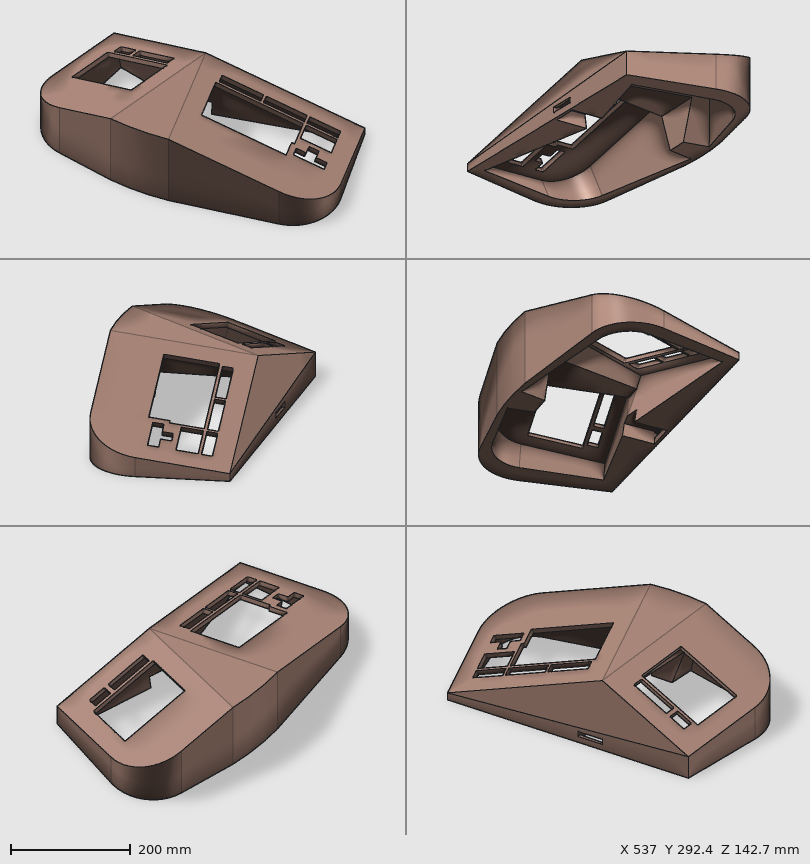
import math

import cadquery as cq

APEX = cq.Vector(-41.2, 100.1, 110.1)
PANEL_LENGTH = 250.9
LEFT_WIDTH = 203.2
RIGHT_WIDTH = 294.0
LEFT_YAW = 13.1
RIGHT_YAW = 12.1
PITCH = 7.35
ROLL = 19.2
CORNER_RADIUS = 90.0
FRONT_EDGE_Y = -146.16

PANEL_THICKNESS = 9.0
CAVITY_MARGIN = 16.0
CAVITY_FOLD_MARGIN = 23.0
CAVITY_FRONT_MARGIN = 30.0
CAVITY_CORNER_RADIUS = 60.0
DROP = 400.0

PASSAGE_WIDTH = 100.0
PASSAGE_FRONT_Y = -90.0
PASSAGE_HEIGHT = 72.8
PASSAGE_BACK_TOP_Y = 82.2
PASSAGE_BACK_Y = 72.4
DOORWAY_WIDTH = 47.0
DOORWAY_HEIGHT = 25.0
DOORWAY_FRONT_Y = 40.0
DOORWAY_BACK_Y = 134.0
PORT_BOTTOM = 12.0
PORT_TOP = 22.0

WINDOW_RADIUS = 1.7
STRIP_BACK = 35.5
STRIP_FRONT = 54.0
SCREEN_BACK = 59.7
SCREEN_FRONT = 154.5
SCREEN_FOLD = 35.0
LEFT_SCREEN_OUTER = 167.0
RIGHT_SCREEN_OUTER = 196.7
RIGHT_SCREEN_STEP = 5.5
RIGHT_SCREEN_STEP_AT = 118.0
STRIP_FOLD = 40.0
STRIP_SPLIT = 116.5
LEFT_SWITCH = (125.0, 158.0)
RIGHT_STRIP = (121.7, 197.0)
KEYPAD = (202.2, 259.0)
KEYPAD_FRONT = 97.5
TEE_STEM = (220.7, 239.0)
TEE_BACK = 107.8
TEE_SHOULDER = 126.7
TEE_FRONT = 145.7


class Panel:
    """A tilted panel; side is -1 for the left one and +1 for the right one."""

    def __init__(self, side, yaw, width):
        turn = math.radians(yaw)
        pitch = math.radians(PITCH)
        roll = math.radians(ROLL)
        self.side = side
        self.width = width
        self.forward = cq.Vector(
            side * math.sin(turn) * math.cos(pitch),
            -math.cos(turn) * math.cos(pitch),
            math.sin(pitch),
        )
        level = cq.Vector(side * math.cos(turn), math.sin(turn), 0)
        level_up = level.cross(self.forward) * -side
        self.outward = level * math.cos(roll) - level_up * math.sin(roll)
        self.up = self.outward.cross(self.forward) * -side
        self.plane = cq.Plane(APEX, self.outward, self.up)
        self.back_corner = self.point(width, 0)
        self.fold_end = self.point(0, PANEL_LENGTH)

    def point(self, out, ahead):
        """Point on the panel, measured from the fold and from the back edge."""
        return APEX + self.outward * out + self.forward * ahead

    def local(self, out, ahead):
        """The same point in the coordinates of the panel's own plane."""
        return out, -self.side * ahead

    def top_face(self):
        """Outline of the panel with its rounded front outer corner."""
        corner_start = self.local(self.width, PANEL_LENGTH - CORNER_RADIUS)
        corner_end = self.local(self.width - CORNER_RADIUS, PANEL_LENGTH)
        outline = (
            cq.Workplane(self.plane)
            .lineTo(self.width, 0)
            .lineTo(*corner_start)
            .tangentArcPoint(corner_end, relative=False)
            .lineTo(*self.local(0, PANEL_LENGTH))
            .close()
        )
        return cq.Face.makeFromWires(outline.val())

    def prism(self, corners, start, end):
        """Solid square to the panel, from depth start to depth end below it."""
        points = [self.local(*corner) for corner in corners]
        section = cq.Workplane(self.plane).workplane(offset=-start).polyline(points).close()
        return section.extrude(start - end)

    def window(self, corners):
        """Cutter that passes right through the panel, with rounded corners."""
        cutter = self.prism(corners, -PANEL_THICKNESS, 2 * PANEL_THICKNESS)
        return cutter.edges(cq.selectors.ParallelDirSelector(self.up)).fillet(WINDOW_RADIUS)

    def cavity(self):
        """Hollow below the panel, open at the bottom."""
        inner = CAVITY_FOLD_MARGIN
        outer = self.width - CAVITY_MARGIN
        front = PANEL_LENGTH - CAVITY_FRONT_MARGIN
        pocket = self.prism(rectangle(inner, outer, CAVITY_MARGIN, front), PANEL_THICKNESS, DROP)
        front_corner = self.point(outer, front) - self.up * (DROP + PANEL_THICKNESS) / 2
        corner_edge = pocket.edges(cq.selectors.NearestToPointSelector(front_corner.toTuple()))
        return corner_edge.fillet(CAVITY_CORNER_RADIUS)


def rectangle(fold, outer, back, front):
    return [(fold, back), (outer, back), (outer, front), (fold, front)]


def drop(face):
    """Solid between a face and a level far below it."""
    return cq.Workplane(cq.Solid.extrudeLinear(face, cq.Vector(0, 0, -DROP)))


def polygon_face(*points):
    return cq.Face.makeFromWires(cq.Wire.makePolygon(points, close=True))


def wedge_face(left, right):
    """Sloping face between the two folds, closed by the bowed front edge."""
    start = left.fold_end
    end = right.fold_end
    normal = (start - APEX).cross(end - APEX)
    middle_x = (start.x + end.x) / 2
    across = normal.x * (middle_x - APEX.x) + normal.y * (FRONT_EDGE_Y - APEX.y)
    middle = cq.Vector(middle_x, FRONT_EDGE_Y, APEX.z - across / normal.z)
    edges = [
        cq.Edge.makeLine(APEX, start),
        cq.Edge.makeThreePointArc(start, middle, end),
        cq.Edge.makeLine(end, APEX),
    ]
    return cq.Face.makeFromWires(cq.Wire.assembleEdges(edges))


def body(left, right):
    """Solid outer form, with upright walls and a flat bottom."""
    solid = drop(left.top_face())
    solid = solid.union(drop(right.top_face()))
    solid = solid.union(drop(wedge_face(left, right)))
    solid = solid.union(drop(polygon_face(APEX, left.back_corner, right.back_corner)))
    ground = cq.Workplane("XY").rect(4 * DROP, 4 * DROP).extrude(-2 * DROP)
    return solid.cut(ground)


def block(back, front, bottom, top):
    """Upright block as wide as the doorway, centred below the apex."""
    base = cq.Workplane("XY", origin=(APEX.x, (back + front) / 2, bottom))
    return base.rect(DOORWAY_WIDTH, back - front).extrude(top - bottom)


def passage():
    """Opening through the rib between the cavities; its back face leans back."""
    profile = [
        (PASSAGE_FRONT_Y, 0),
        (PASSAGE_BACK_Y, 0),
        (PASSAGE_BACK_Y, DOORWAY_HEIGHT),
        (PASSAGE_BACK_TOP_Y, PASSAGE_HEIGHT),
        (PASSAGE_FRONT_Y, PASSAGE_HEIGHT),
    ]
    section = cq.Workplane("YZ", origin=(APEX.x, 0, 0)).polyline(profile).close()
    return section.extrude(PASSAGE_WIDTH / 2, both=True)


def left_windows():
    return [
        rectangle(SCREEN_FOLD, LEFT_SCREEN_OUTER, SCREEN_BACK, SCREEN_FRONT),
        rectangle(STRIP_FOLD, STRIP_SPLIT, STRIP_BACK, STRIP_FRONT),
        rectangle(*LEFT_SWITCH, STRIP_BACK, STRIP_FRONT),
    ]


def right_windows():
    narrow_outer = RIGHT_SCREEN_OUTER - RIGHT_SCREEN_STEP
    screen = [
        (SCREEN_FOLD, SCREEN_BACK),
        (RIGHT_SCREEN_OUTER, SCREEN_BACK),
        (RIGHT_SCREEN_OUTER, RIGHT_SCREEN_STEP_AT),
        (narrow_outer, RIGHT_SCREEN_STEP_AT),
        (narrow_outer, SCREEN_FRONT),
        (SCREEN_FOLD, SCREEN_FRONT),
    ]
    tee = [
        (TEE_STEM[0], TEE_BACK),
        (TEE_STEM[1], TEE_BACK),
        (TEE_STEM[1], TEE_SHOULDER),
        (KEYPAD[1], TEE_SHOULDER),
        (KEYPAD[1], TEE_FRONT),
        (KEYPAD[0], TEE_FRONT),
        (KEYPAD[0], TEE_SHOULDER),
        (TEE_STEM[0], TEE_SHOULDER),
    ]
    return [
        screen,
        rectangle(STRIP_FOLD, STRIP_SPLIT, STRIP_BACK, STRIP_FRONT),
        rectangle(*RIGHT_STRIP, STRIP_BACK, STRIP_FRONT),
        rectangle(*KEYPAD, STRIP_BACK, STRIP_FRONT),
        rectangle(*KEYPAD, SCREEN_BACK, KEYPAD_FRONT),
        tee,
    ]


left_panel = Panel(-1, LEFT_YAW, LEFT_WIDTH)
right_panel = Panel(1, RIGHT_YAW, RIGHT_WIDTH)

result = body(left_panel, right_panel)
for panel, windows in ((left_panel, left_windows()), (right_panel, right_windows())):
    result = result.cut(panel.cavity())
    for corners in windows:
        result = result.cut(panel.window(corners))
result = result.cut(passage())
result = result.cut(block(DOORWAY_BACK_Y, DOORWAY_FRONT_Y, 0, DOORWAY_HEIGHT))
result = result.cut(block(right_panel.back_corner.y, DOORWAY_FRONT_Y, PORT_BOTTOM, PORT_TOP))